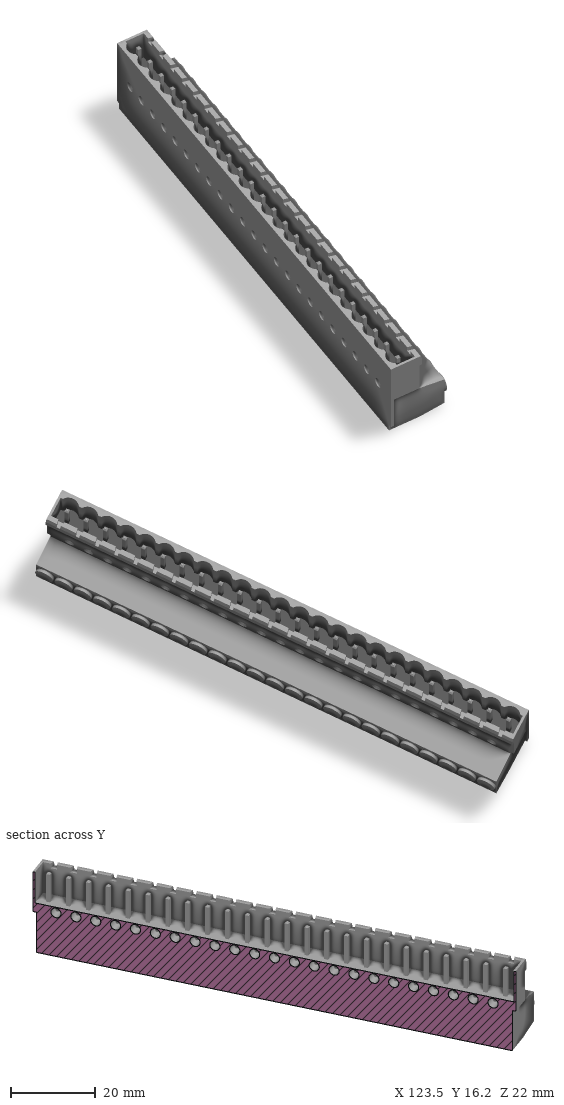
import cadquery as cq

length = 123.5
height = 22.0
tower_depth = 7.9
ear_width = 0.9
ear_depth = 0.9
ear_bottom = 1.9
shoulder_height = 11.0

block_length = length - 2 * ear_width
block_back = 15.5
ledge_front_height = 10.0
ledge_back_height = 9.0
underside_flat_depth = 8.6
underside_back_height = 0.9

contact_count = 24
contact_span = 116.9
pitch = contact_span / (contact_count - 1)
contact_y = 4.0
pin_size = 1.0
pin_chamfer = 0.4
pin_top = 21.5

end_wall = 0.6
cavity_floor = 13.6
cavity_back = 7.0
scallop_front = 0.9
land_y = 2.0
land_width = 0.9

hole_diameter = 2.5
hole_height = 12.0

latch_bottom = 18.9
latch_nose_height = 20.9
latch_reach = 0.7
latch_top_reach = 0.4
notch_front_width = 1.6
notch_back_width = 0.9
notch_depth = 1.2

boss_diameter = 4.7
boss_height = 0.7
boss_z = 5.5

contact_xs = [-contact_span / 2 + i * pitch for i in range(contact_count)]
hole_xs = [x + pitch / 2 for x in contact_xs[:-1]]


def span_box(x_size, y_min, y_max, z_min, z_max):
    """Box centred on X = 0 between the given Y and Z limits."""
    box = cq.Workplane("XY").box(x_size, y_max - y_min, z_max - z_min, centered=(True, False, False))
    return box.translate((0, y_min, z_min))


def side_extrusion(points, x_size):
    """Extrude a closed (Y, Z) outline symmetrically along X."""
    return cq.Workplane("YZ").polyline(points).close().extrude(x_size / 2, both=True)


def make_shell():
    """L-shaped body: upright tower with side ears, tapered rear block and latch ridge."""
    tower = span_box(length, 0, tower_depth, shoulder_height, height)
    front_plate = span_box(length, 0, ear_depth, ear_bottom, height)
    core = span_box(block_length, 0, tower_depth, 0, height)
    block = side_extrusion(
        [
            (0, 0),
            (underside_flat_depth, 0),
            (block_back, underside_back_height),
            (block_back, ledge_back_height),
            (tower_depth, ledge_front_height),
            (0, ledge_front_height),
        ],
        block_length,
    )
    latch = side_extrusion(
        [
            (cavity_back, latch_bottom),
            (tower_depth + latch_reach, latch_bottom),
            (tower_depth + latch_reach, latch_nose_height),
            (tower_depth + latch_top_reach, height),
            (cavity_back, height),
        ],
        length,
    )
    return tower.union(front_plate).union(core).union(block).union(latch)


def make_cavity():
    """Open-topped cavity with a flat rear wall and one arc per contact in the front wall."""
    half_length = length / 2 - end_wall
    scallop_half_width = (pitch - land_width) / 2

    outline = cq.Workplane("XY", origin=(0, 0, cavity_floor))
    outline = outline.moveTo(-half_length, cavity_back).lineTo(-half_length, land_y)
    for x in contact_xs:
        outline = outline.lineTo(x - scallop_half_width, land_y)
        outline = outline.threePointArc((x, scallop_front), (x + scallop_half_width, land_y))
    outline = outline.lineTo(half_length, land_y).lineTo(half_length, cavity_back).close()
    return outline.extrude(height - cavity_floor)


def make_notches():
    """Notches through the top of the rear wall, wider on the cavity side."""
    notch_back = tower_depth + latch_reach
    notches = cq.Workplane("XY", origin=(0, 0, height - notch_depth))
    for x in contact_xs:
        notches = notches.polyline(
            [
                (x - notch_front_width / 2, cavity_back),
                (x + notch_front_width / 2, cavity_back),
                (x + notch_back_width / 2, notch_back),
                (x - notch_back_width / 2, notch_back),
            ]
        ).close()
    return notches.extrude(notch_depth)


def make_holes():
    """Cross holes through the tower, just below the cavity floor."""
    return (
        cq.Workplane("XZ")
        .pushPoints([(x, hole_height) for x in hole_xs])
        .circle(hole_diameter / 2)
        .extrude(-tower_depth)
    )


def make_pins():
    """Square pins rooted below the cavity floor, with chamfered tips."""
    return (
        cq.Workplane("XY", origin=(0, contact_y, shoulder_height))
        .pushPoints([(x, 0) for x in contact_xs])
        .rect(pin_size, pin_size)
        .extrude(pin_top - shoulder_height)
        .faces(">Z")
        .chamfer(pin_chamfer)
    )


def make_bosses():
    """One low round boss per contact on the rear face."""
    return (
        cq.Workplane("XZ", origin=(0, block_back, 0))
        .pushPoints([(x, boss_z) for x in contact_xs])
        .circle(boss_diameter / 2)
        .extrude(-boss_height)
    )


result = make_shell().cut(make_cavity()).cut(make_notches()).cut(make_holes())
result = result.union(make_pins()).union(make_bosses())